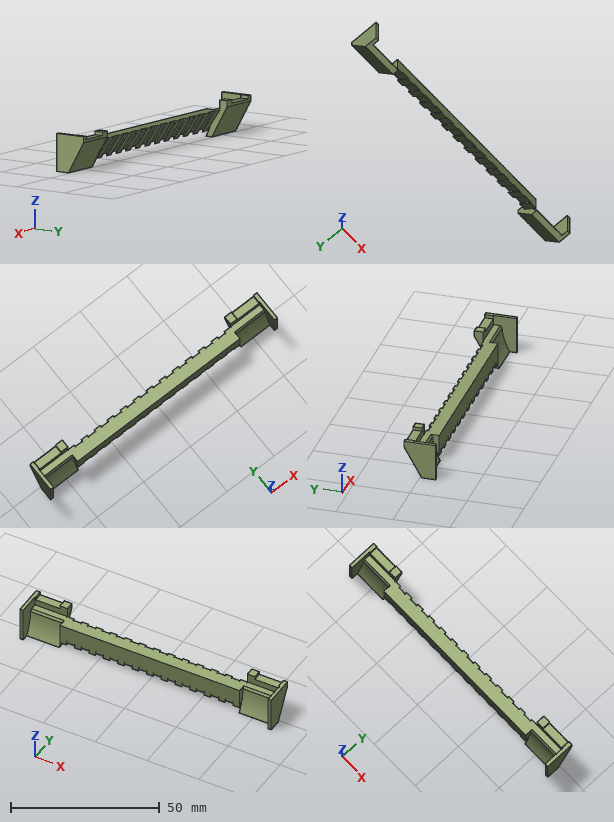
import cadquery as cq

length = 97.0
depth = 11.2
height = 13.0

plate_thickness = 1.3
plate_bottom_depth = 4.85
plate_back_edge_height = 2.0

block_end = 13.8
block_front = 2.4
block_bevel_back = 5.7
block_bevel_front = 5.1
block_bevel_height = 0.9
block_curve_bulge = 0.5

rail_front = 8.05
notch_start = 1.6
notch_end = 10.9
notch_depth = 1.2

bar_front = 2.8
bar_top = 9.5
bar_bottom = 1.9

groove_count = 12
groove_pitch = 5.56
groove_width = 3.0
groove_rise = 0.92

half_length = length / 2
bar_slope = (rail_front - bar_front) / (bar_top - bar_bottom)


def extrude_along_x(profile, x_start, x_end):
    """Extrude a closed YZ profile between two X positions."""
    return profile.extrude(x_end - x_start).translate((x_start, 0, 0))


def plate_profile():
    """Plate outline: upright front, and a back that leans in towards the bottom."""
    return cq.Workplane("YZ").polyline([
        (0, 0),
        (plate_bottom_depth, 0),
        (depth, height - plate_back_edge_height),
        (depth, height),
        (0, height),
    ]).close()


def block_profile():
    """Block and rail outline: hollow front, small bevel, flat ledge and raised rail."""
    bevel_bottom = bar_top - block_bevel_height
    run = block_bevel_front - block_front
    chord = (run**2 + bevel_bottom**2) ** 0.5
    hollow_middle = (
        block_front + run / 2 + block_curve_bulge * bevel_bottom / chord,
        bevel_bottom / 2 - block_curve_bulge * run / chord,
    )
    return (
        cq.Workplane("YZ")
        .moveTo(block_front, 0)
        .lineTo(plate_bottom_depth, 0)
        .lineTo(depth, height - plate_back_edge_height)
        .lineTo(depth, height)
        .lineTo(rail_front, height)
        .lineTo(rail_front, bar_top)
        .lineTo(block_bevel_back, bar_top)
        .lineTo(block_bevel_front, bevel_bottom)
        .threePointArc(hollow_middle, (block_front, 0))
        .close()
    )


def make_end():
    """Left-hand end: plate, block and notched rail."""
    plate = extrude_along_x(plate_profile(), -half_length, plate_thickness - half_length)
    block = extrude_along_x(block_profile(), plate_thickness - half_length, block_end - half_length)
    notch = cq.Workplane("XY").box(
        notch_end - notch_start, depth - rail_front, notch_depth, centered=False
    ).translate((notch_start - half_length, rail_front, height - notch_depth))
    return plate.union(block.cut(notch))


def bar_profile(rise):
    """Triangular bar outline with its sloping back raised by the given height."""
    return cq.Workplane("YZ").polyline([
        (bar_front, bar_bottom + rise),
        (rail_front - rise * bar_slope, bar_top),
        (bar_front, bar_top),
    ]).close()


def make_bar():
    """Toothed bar spanning the gap between the two blocks."""
    bar_half = half_length - block_end
    bar = extrude_along_x(bar_profile(0), -bar_half, bar_half)
    removed = bar.cut(extrude_along_x(bar_profile(groove_rise), -bar_half, bar_half))
    for index in range(groove_count):
        center = (index - (groove_count - 1) / 2) * groove_pitch
        band = cq.Workplane("XY").box(groove_width, 2 * depth, 2 * height).translate((center, 0, height / 2))
        bar = bar.cut(removed.intersect(band))
    return bar


left_end = make_end()
right_end = left_end.mirror("YZ")
result = make_bar().union(left_end).union(right_end)